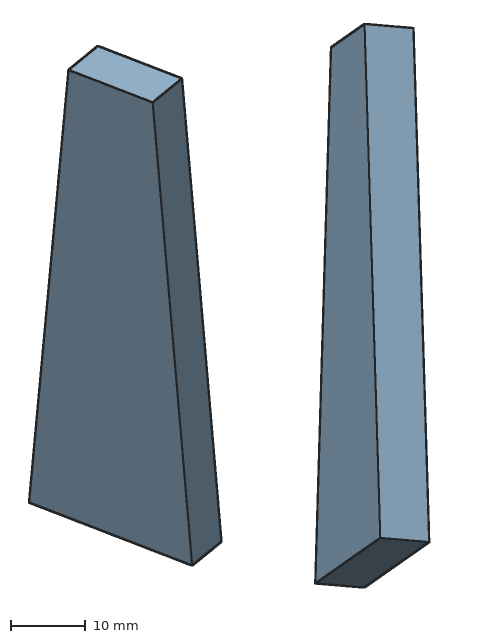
import cadquery as cq

height = 72.6
thickness = 7.0
base_width = 26.6
top_width = 13.7

profile = [
    (-base_width / 2, 0),
    (base_width / 2, 0),
    (top_width / 2, height),
    (-top_width / 2, height),
]

result = cq.Workplane("XZ").polyline(profile).close().extrude(thickness / 2, both=True)